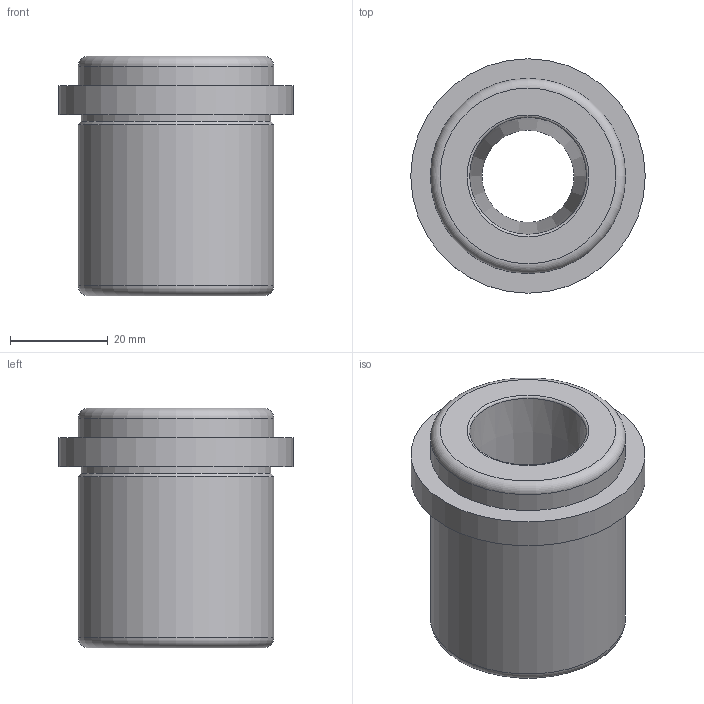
import cadquery as cq
import math

total_height = 49.0
flange_top_depth = 6.0
flange_thickness = 6.0
flange_top = total_height - flange_top_depth
flange_bottom = flange_top - flange_thickness

body_radius = 20.0
flange_radius = 24.0
body_edge_fillet = 2.0

groove_width = 2.0
groove_depth = 0.6
groove_slope_height = 0.7
groove_radius = body_radius - groove_depth
groove_bottom = flange_bottom - groove_width

bore_top_radius = 12.0
bore_taper_angle = 3.0
bore_rim_fillet = 0.5
bore_bottom_radius = bore_top_radius - total_height * math.tan(math.radians(bore_taper_angle))


def make_blank():
    """Revolve the outer half profile about Z."""
    return (
        cq.Workplane("XZ")
        .lineTo(body_radius, 0)
        .lineTo(body_radius, groove_bottom)
        .lineTo(groove_radius, groove_bottom + groove_slope_height)
        .lineTo(groove_radius, flange_bottom)
        .lineTo(flange_radius, flange_bottom)
        .lineTo(flange_radius, flange_top)
        .lineTo(body_radius, flange_top)
        .lineTo(body_radius, total_height)
        .lineTo(0, total_height)
        .close()
        .revolve(360, (0, 0, 0), (0, 1, 0))
        .faces("<Z or >Z")
        .edges()
        .fillet(body_edge_fillet)
    )


def make_bore():
    """Cone that is cut through the full height of the blank."""
    cone = cq.Solid.makeCone(bore_bottom_radius, bore_top_radius, total_height)
    return cq.Workplane(cone)


def round_bore_rim(part):
    """Round the mouth of the bore where it meets the top face."""
    rim = part.faces(">Z").edges(cq.selectors.RadiusNthSelector(0))
    return rim.fillet(bore_rim_fillet)


result = round_bore_rim(make_blank().cut(make_bore()))